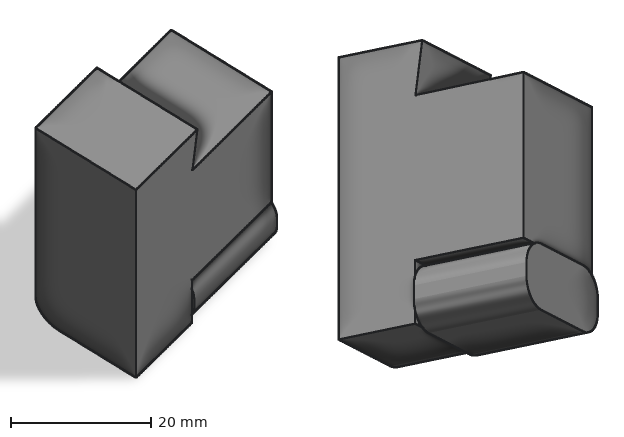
import cadquery as cq
import math

insert_side = 19.05
insert_height = 10.0
insert_radius = 3.97

overall_depth = 32.0
overall_height = 43.0
jaw_width = 18.3
jaw_bottom = 0.4
jaw_corner_radius = 4.4
rear_setback = 0.75
nose_depth = 13.0
nose_wall_angle = 8.0
step_floor_height = 34.9
step_floor_angle = 0.4

insert_front = overall_depth - insert_side
jaw_rear = overall_depth - rear_setback


def insert_blank():
    """Sharp-edged block of the insert, in its place at the rear bottom of the jaw."""
    block = cq.Workplane("XY").box(
        insert_side, insert_side, insert_height, centered=(True, False, False)
    )
    return block.translate((0, insert_front, 0))


def make_insert():
    return insert_blank().edges("|Y").fillet(insert_radius)


def jaw_block():
    """Side outline of the jaw in the YZ plane, extruded across its width."""
    nose_height = overall_height - step_floor_height
    nose_lean = nose_height * math.tan(math.radians(nose_wall_angle))
    floor_rise = (jaw_rear - nose_depth) * math.tan(math.radians(step_floor_angle))
    outline = [
        (0, jaw_bottom),
        (0, overall_height),
        (nose_depth + nose_lean, overall_height),
        (nose_depth, step_floor_height),
        (jaw_rear, step_floor_height + floor_rise),
        (jaw_rear, jaw_bottom),
    ]
    return cq.Workplane("YZ").polyline(outline).close().extrude(jaw_width / 2, both=True)


def make_jaw():
    notched = jaw_block().cut(insert_blank())
    return notched.edges("|Y").edges("<Z").edges("<X").fillet(jaw_corner_radius)


insert = make_insert()
jaw = make_jaw()

result = cq.Compound.makeCompound([jaw.val(), insert.val()])